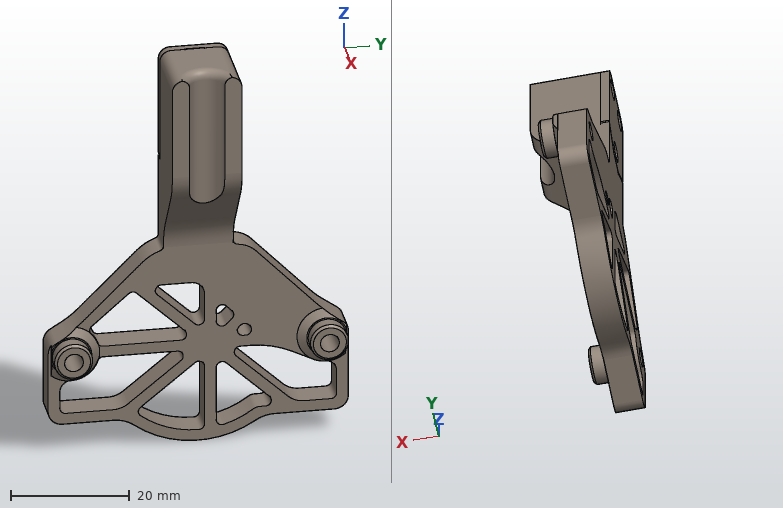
import cadquery as cq
import math

height = 71.65
plate_width = 51.45
plate_thickness = 5.0
stem_width = 12.0
stem_depth = 13.6
stem_corner_radius = 2.0

half_plate = plate_width / 2
half_stem = stem_width / 2

mount_y = 21.9
mount_z = 18.0
mount_hole_diameter = 3.2
boss_diameter = 6.5
boss_tip_x = 8.5
boss_tip_chamfer = 0.4
pad_base_radius = 5.0
pad_top_radius = 3.5
pad_top_x = 5.95
pad_limit_y = 25.2
pocket_clearance_radius = 4.95

rim_radius = mount_z
left_base_z = 3.9
right_base_z = 4.95
base_corner_radius = 2.45
rim_blend_radius = 5.95
mount_corner_z = 19.8
mount_corner_radius = 2.65
left_mount_bend = (21.1, 23.1)
left_mount_bend_radius = 14.3
right_mount_bend = (-21.0, 22.7)
right_mount_bend_radius = 15.8
left_shoulder = (8.75, 35.8)
left_shoulder_radius = 5.0
right_shoulder = (-8.4, 35.3)
right_shoulder_radius = 8.6
stem_root_z = 36.25
stem_root_radius = 0.85

hub_y = 2.1
hub_z = mount_z
rib_width = 2.0
half_rib = rib_width / 2
falling_rib_slope = -math.tan(math.radians(43))
rising_rib_slope = math.tan(math.radians(39))
short_rib_offset = 15.1
short_rib_limit = 29.5

wall = 2.0
pocket_radius = 1.0
pocket_side_radius = 2.0
upper_right_top_z = 29.6
upper_right_radius = 2.3
right_top_y = -11.25
right_edge_end = (-21.5, 20.0)
right_clearance_corner = (-19.3, 22.0)
lower_left_bend = (12.6, hub_z - half_rib)
lower_left_bend_radius = 15.8
lower_left_shelf_y = 20.65
lower_left_shelf_radius = 3.6
pocket_bend_radius = 4.0
pocket_rim_radius = rim_radius - wall
pocket_rim_blend_radius = 1.8
bottom_left_shelf_z = 5.45
bottom_right_rib_end = (-10.8, 6.3)

slope_angle = math.radians(41)
slope_top_z = 53.6
slope_top_radius = 7.5
slope_foot_z = 36.55
slope_foot_radius = 8.95

groove_radius = 3.0
groove_rounding = 1.5

cover_thickness = 1.5
cover_gap = 0.35
recess_bottom_z = 47.65
recess_half_tip = 2.1
screw_hole_diameter = 3.5
screw_hole_depth = 5.8
screw_spacing_y = 6.0
upper_screw_z = 68.7
lower_screw_z = 51.75
screw_positions = [
    (screw_spacing_y / 2, upper_screw_z),
    (-screw_spacing_y / 2, upper_screw_z),
    (0, lower_screw_z),
]
pry_slot_width = 3.4
pry_slot_thickness = 0.2
pry_slot_depth = 1.0


def prism(points, thickness):
    """Extrude a (Y, Z) polygon from the front face along +X."""
    return cq.Workplane("YZ").polyline(points).close().extrude(thickness)


def disc(y, z, radius, x_start, x_end):
    """Cylinder along X."""
    return cq.Workplane("YZ", origin=(x_start, y, z)).circle(radius).extrude(x_end - x_start)


def round_corners(body, corners):
    """Fillet the edges along X nearest to each (Y, Z, radius)."""
    for y, z, radius in corners:
        corner = cq.NearestToPointSelector((plate_thickness / 2, y, z))
        body = body.edges("|X").edges(corner).fillet(radius)
    return body


def rib_edge_z(y, slope, side):
    """Height at y of the upper (side=1) or lower (side=-1) edge of a sloping rib."""
    return hub_z + (y - hub_y) * slope + side * half_rib * math.hypot(1, slope)


def rib_edge_y(z, slope, side):
    """Position at height z of the upper (side=1) or lower (side=-1) edge of a sloping rib."""
    return hub_y + (z - hub_z - side * half_rib * math.hypot(1, slope)) / slope


def rim_crossing_y(z, radius):
    """Half width at height z of a circle about the middle of the rim."""
    return math.sqrt(radius**2 - (z - mount_z) ** 2)


def make_plate(thickness):
    """Plate outline, without the pockets and holes."""
    outline = [
        (half_stem, recess_bottom_z),
        (half_stem, stem_root_z),
        left_shoulder,
        left_mount_bend,
        (half_plate, mount_corner_z),
        (half_plate, left_base_z),
        (0, left_base_z),
        (0, right_base_z),
        (-half_plate, right_base_z),
        (-half_plate, mount_corner_z),
        right_mount_bend,
        right_shoulder,
        (-half_stem, stem_root_z),
        (-half_stem, recess_bottom_z),
    ]
    plate = prism(outline, thickness).union(disc(0, mount_z, rim_radius, 0, thickness))
    return round_corners(plate, [
        (half_stem, stem_root_z, stem_root_radius),
        (*left_shoulder, left_shoulder_radius),
        (*left_mount_bend, left_mount_bend_radius),
        (half_plate, mount_corner_z, mount_corner_radius),
        (half_plate, left_base_z, base_corner_radius),
        (rim_crossing_y(left_base_z, rim_radius), left_base_z, rim_blend_radius),
        (-rim_crossing_y(right_base_z, rim_radius), right_base_z, rim_blend_radius),
        (-half_plate, right_base_z, base_corner_radius),
        (-half_plate, mount_corner_z, mount_corner_radius),
        (*right_mount_bend, right_mount_bend_radius),
        (*right_shoulder, right_shoulder_radius),
        (-half_stem, stem_root_z, stem_root_radius),
    ])


def rounded_pocket(corners):
    """Pocket from (Y, Z, radius) corners."""
    sharp = prism([(y, z) for y, z, _ in corners], plate_thickness)
    return round_corners(sharp, corners)


def upper_right_pocket():
    side_y = hub_y - half_rib
    top_z = upper_right_top_z
    return rounded_pocket([
        (side_y, top_z, upper_right_radius),
        (rib_edge_y(top_z, falling_rib_slope, 1), top_z, pocket_radius),
        (side_y, rib_edge_z(side_y, falling_rib_slope, 1), pocket_radius),
    ])


def right_pocket():
    bottom_z = hub_z + half_rib
    tip_y = rib_edge_y(bottom_z, falling_rib_slope, -1)
    top_z = rib_edge_z(right_top_y, falling_rib_slope, -1)
    edge_y, edge_z = right_edge_end
    sharp = prism([
        (tip_y, bottom_z),
        (right_top_y, top_z),
        (edge_y, edge_z),
        (edge_y, bottom_z),
    ], plate_thickness)
    sharp = sharp.cut(disc(-mount_y, mount_z, pocket_clearance_radius, 0, plate_thickness))
    return round_corners(sharp, [
        (tip_y, bottom_z, pocket_radius),
        (right_top_y, top_z, pocket_radius),
        (*right_clearance_corner, pocket_radius),
        (-mount_y + pocket_clearance_radius, bottom_z, pocket_radius),
    ])


def lower_right_pocket():
    top_z = hub_z - half_rib
    bottom_z = right_base_z + wall
    side_y = -half_plate + wall
    tip_y = rib_edge_y(top_z, rising_rib_slope, 1)
    bend_y = rib_edge_y(bottom_z, rising_rib_slope, 1)
    sharp = prism([(tip_y, top_z), (bend_y, bottom_z), (side_y, bottom_z), (side_y, top_z)], plate_thickness)
    sharp = sharp.cut(disc(-mount_y, mount_z, pocket_clearance_radius, 0, plate_thickness))
    return round_corners(sharp, [
        (tip_y, top_z, pocket_radius),
        (bend_y, bottom_z, pocket_bend_radius),
        (side_y, bottom_z, pocket_radius),
        (side_y, mount_z - pocket_clearance_radius, pocket_side_radius),
        (-mount_y + pocket_clearance_radius, top_z, pocket_radius),
    ])


def lower_left_pocket():
    top_z = hub_z - half_rib
    bottom_z = left_base_z + wall
    side_y = half_plate - wall
    shelf_z = mount_z - pocket_clearance_radius
    bend_y = rib_edge_y(bottom_z, falling_rib_slope, 1)
    return rounded_pocket([
        (rib_edge_y(top_z, falling_rib_slope, 1), top_z, pocket_radius),
        (*lower_left_bend, lower_left_bend_radius),
        (lower_left_shelf_y, shelf_z, lower_left_shelf_radius),
        (side_y, shelf_z, pocket_side_radius),
        (side_y, bottom_z, pocket_radius),
        (bend_y, bottom_z, pocket_bend_radius),
    ])


def bottom_right_pocket():
    side_y = hub_y - half_rib
    far_y = -half_plate
    apex_z = rib_edge_z(side_y, rising_rib_slope, -1)
    far_z = rib_edge_z(far_y, rising_rib_slope, -1)
    sharp = prism([(side_y, apex_z), (far_y, far_z), (side_y, 0)], plate_thickness)
    sharp = sharp.intersect(disc(0, mount_z, pocket_rim_radius, 0, plate_thickness))
    return round_corners(sharp, [
        (side_y, apex_z, pocket_radius),
        (*bottom_right_rib_end, pocket_radius),
        (side_y, mount_z - pocket_rim_radius, pocket_radius),
    ])


def bottom_left_pocket():
    side_y = hub_y + half_rib
    shelf_z = bottom_left_shelf_z
    apex_z = rib_edge_z(side_y, falling_rib_slope, -1)
    rib_end_y = rib_edge_y(shelf_z, falling_rib_slope, -1)
    rim_part = prism([(side_y, shelf_z), (rib_end_y, shelf_z), (rib_end_y, 0), (side_y, 0)], plate_thickness)
    rim_part = rim_part.intersect(disc(0, mount_z, pocket_rim_radius, 0, plate_thickness))
    sharp = prism([(side_y, apex_z), (rib_end_y, shelf_z), (side_y, shelf_z)], plate_thickness)
    return round_corners(sharp.union(rim_part).clean(), [
        (side_y, apex_z, pocket_radius),
        (rib_end_y, shelf_z, pocket_radius),
        (rim_crossing_y(shelf_z, pocket_rim_radius), shelf_z, pocket_rim_blend_radius),
        (side_y, mount_z - pocket_rim_radius, pocket_radius),
    ])


def upper_left_pockets():
    """Two small pockets on either side of the short 45-degree rib."""
    side_y = hub_y + half_rib
    base_z = hub_z + half_rib
    upper_edge = short_rib_offset + half_rib * math.sqrt(2)
    lower_edge = short_rib_offset - half_rib * math.sqrt(2)
    above_tip_y = (short_rib_limit - upper_edge) / 2
    below_tip_y = (short_rib_limit - lower_edge) / 2
    above = rounded_pocket([
        (side_y, short_rib_limit - side_y, pocket_radius),
        (side_y, side_y + upper_edge, pocket_radius),
        (above_tip_y, above_tip_y + upper_edge, pocket_radius),
    ])
    below = rounded_pocket([
        (below_tip_y, below_tip_y + lower_edge, pocket_radius),
        (base_z - lower_edge, base_z, pocket_radius),
        (short_rib_limit - base_z, base_z, pocket_radius),
    ])
    return [above, below]


def pockets():
    return [
        upper_right_pocket(),
        right_pocket(),
        lower_right_pocket(),
        lower_left_pocket(),
        bottom_right_pocket(),
        bottom_left_pocket(),
        *upper_left_pockets(),
    ]


def make_stem():
    arc_mid = slope_angle / 2
    slope_x = stem_depth - slope_top_radius * (1 - math.cos(slope_angle))
    slope_z = slope_top_z - slope_top_radius * math.sin(slope_angle)
    run = slope_foot_radius * (1 - math.cos(slope_angle))
    stem = (
        cq.Workplane("XZ", origin=(0, half_stem, 0))
        .moveTo(0, slope_foot_z)
        .lineTo(plate_thickness, slope_foot_z)
        .threePointArc(
            (
                plate_thickness + slope_foot_radius * (1 - math.cos(arc_mid)),
                slope_foot_z + slope_foot_radius * math.sin(arc_mid),
            ),
            (plate_thickness + run, slope_foot_z + slope_foot_radius * math.sin(slope_angle)),
        )
        .lineTo(slope_x, slope_z)
        .threePointArc(
            (
                stem_depth - slope_top_radius * (1 - math.cos(arc_mid)),
                slope_top_z - slope_top_radius * math.sin(arc_mid),
            ),
            (stem_depth, slope_top_z),
        )
        .lineTo(stem_depth, height)
        .lineTo(0, height)
        .close()
        .extrude(stem_width)
    )
    stem = stem.edges("|X and >Z").fillet(stem_corner_radius)
    groove = cq.Workplane("XY", origin=(stem_depth, 0, 0)).circle(groove_radius).extrude(height)
    mouth_radius = groove_radius + groove_rounding
    mouth_z = height - groove_rounding
    mouth = (
        cq.Workplane("XZ", origin=(stem_depth, 0, 0))
        .moveTo(0, mouth_z)
        .lineTo(groove_radius, mouth_z)
        .threePointArc(
            (mouth_radius - groove_rounding * math.sqrt(0.5), mouth_z + groove_rounding * math.sqrt(0.5)),
            (mouth_radius, height),
        )
        .lineTo(0, height)
        .close()
        .revolve(360, (0, 0, 0), (0, 1, 0))
    )
    return stem.cut(groove).cut(mouth)


def make_boss(y):
    """Conical pad and chamfered boss at one mounting hole."""
    pad_height = pad_top_x - plate_thickness
    pad = (
        cq.Workplane("YZ", origin=(plate_thickness, y, mount_z))
        .circle(pad_base_radius)
        .workplane(offset=pad_height)
        .circle(pad_top_radius)
        .loft()
    )
    boss = disc(y, mount_z, boss_diameter / 2, plate_thickness, boss_tip_x)
    boss = boss.faces(">X").chamfer(boss_tip_chamfer)
    return pad, boss


def cover_prism(gap):
    """Front slab with a chamfered lower end, drawn in by gap from the recess edge."""
    side_z = recess_bottom_z + half_stem - recess_half_tip + gap * math.sqrt(2)
    tip = recess_half_tip - gap * (math.sqrt(2) - 1)
    bottom_z = recess_bottom_z + gap
    return prism([
        (half_stem, height),
        (half_stem, side_z),
        (tip, bottom_z),
        (-tip, bottom_z),
        (-half_stem, side_z),
        (-half_stem, height),
    ], cover_thickness)


def make_blank():
    """Plate, stem and bosses in one piece, with all pockets and holes."""
    blank = make_plate(plate_thickness).union(make_stem())
    pad_limit = make_plate(pad_top_x).intersect(
        cq.Workplane("XY").box(pad_top_x, 2 * pad_limit_y, height, centered=(False, True, False))
    )
    for y in (mount_y, -mount_y):
        pad, boss = make_boss(y)
        blank = blank.union(pad.intersect(pad_limit)).union(boss)
    for pocket in pockets():
        blank = blank.cut(pocket)
    for y in (mount_y, -mount_y):
        blank = blank.cut(disc(y, mount_z, mount_hole_diameter / 2, 0, boss_tip_x))
    for y, z in screw_positions:
        blank = blank.cut(disc(y, z, screw_hole_diameter / 2, 0, screw_hole_depth))
    return blank


def make_cover(blank):
    """Cover plate that fills the recess, with a shallow pry slot at its top edge."""
    cover = blank.intersect(cover_prism(cover_gap))
    pry_slot = cq.Workplane("XY", origin=(cover_thickness, 0, height)).box(
        2 * pry_slot_thickness, pry_slot_width, 2 * pry_slot_depth
    )
    return cover.cut(pry_slot)


blank = make_blank()
frame = blank.cut(cover_prism(0))
cover = make_cover(blank)
result = cq.Compound.makeCompound([frame.val(), cover.val()])